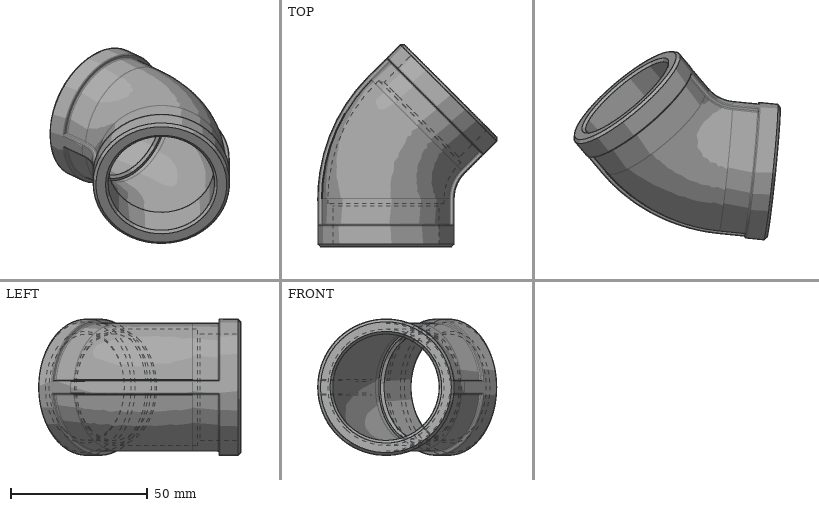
import cadquery as cq
import math


bend_angle = 45.0
bend_radius = 38.25
straight_length = 17.65

collar_diameter = 50.0
collar_length = 8.0
body_diameter = 46.9
rib_width = 5.0
face_chamfer = 1.05
edge_fillet = 0.4

socket_diameter = 39.0
passage_diameter = 42.6
socket_depth = 15.9
mouth_chamfer = 1.0


def elbow_rod(diameter, end_gap=0.0):
    """Round rod along the centreline, stopping short of each end face by end_gap."""
    inlet = (
        cq.Workplane("XZ", origin=(0, end_gap, 0))
        .circle(diameter / 2)
        .extrude(end_gap - straight_length)
    )
    bend = (
        cq.Workplane("XZ", origin=(0, straight_length, 0))
        .circle(diameter / 2)
        .revolve(bend_angle, (bend_radius, 0, 0), (bend_radius, -1, 0))
    )
    return inlet.union(bend).union(at_outlet(inlet))


def at_outlet(inlet_feature):
    """Copy of an inlet feature, mirrored across the mid-plane of the bend."""
    half_angle = math.radians(bend_angle / 2)
    mid_tangent = cq.Vector(math.sin(half_angle), math.cos(half_angle), 0)
    bend_centre = cq.Vector(bend_radius, straight_length, 0)
    return cq.Workplane(inlet_feature.val().mirror(mid_tangent, bend_centre))


def recesses():
    """The two shells, above and below the ribs, missing between the collars."""
    cutter_diameter = 2 * collar_diameter - body_diameter
    shell = elbow_rod(cutter_diameter, collar_length).cut(elbow_rod(body_diameter))
    slab_size = 4 * (bend_radius + collar_diameter)
    rib_slab = cq.Workplane("XY").box(slab_size, slab_size, rib_width)
    return shell.cut(rib_slab)


def socket_cavity():
    """Inlet socket bore, widened by a 45-degree chamfer at both ends."""
    bore_radius = socket_diameter / 2
    mouth_radius = bore_radius + mouth_chamfer
    return (
        cq.Workplane("XY")
        .moveTo(0, 0)
        .lineTo(mouth_radius, 0)
        .lineTo(bore_radius, mouth_chamfer)
        .lineTo(bore_radius, socket_depth - mouth_chamfer)
        .lineTo(mouth_radius, socket_depth)
        .lineTo(0, socket_depth)
        .close()
        .revolve(360, (0, 0, 0), (0, 1, 0))
    )


def is_end_rim(edge):
    """True for the full circles around the end faces, False for recess edges."""
    return edge.IsClosed()


def is_recess_edge(edge):
    """True for the crest and foot edges bounding the recesses."""
    return not edge.IsClosed()


sleeve = elbow_rod(collar_diameter).cut(recesses())
sleeve = sleeve.faces("%PLANE").edges().filter(is_end_rim).chamfer(face_chamfer)
sleeve = sleeve.faces("%PLANE").edges().filter(is_recess_edge).fillet(edge_fillet)

inlet_cavity = socket_cavity()
passage = elbow_rod(passage_diameter, socket_depth)

result = sleeve.cut(passage).cut(inlet_cavity).cut(at_outlet(inlet_cavity))